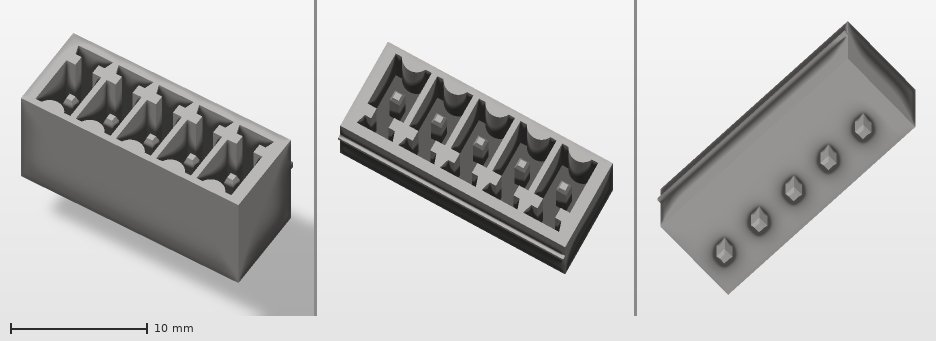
import cadquery as cq

LENGTH = 18.9
HOUSING_DEPTH = 7.24
HOUSING_HEIGHT = 9.19

RAIL_PROJECTION = 0.3
RAIL_HEIGHT = 0.57
RAIL_DROP = 2.91
RAIL_TOP = HOUSING_HEIGHT - RAIL_DROP

CONTACT_COUNT = 5
PITCH = 3.5
CONTACT_XS = [(i - (CONTACT_COUNT - 1) / 2) * PITCH for i in range(CONTACT_COUNT)]

FLOOR_THICKNESS = 1.89
CAVITY_WIDTH = 3.02
CAVITY_FRONT_Y = 0.51
SHOULDER_Y = 4.8
LEDGE_Y = 5.65
CAVITY_BACK_Y = 6.45
NECK_WIDTH = 1.47
DOVETAIL_WIDTH = 2.51

KEY_WIDTH = 1.97
KEY_HEIGHT = 0.62

PIN_Y = 2.99
PIN_WIDTH = 0.85
PIN_TIP_WIDTH = 0.5
PIN_TAPER = 0.57
PIN_BOTTOM = -3.42
PIN_RECESS = 1.44
PIN_TOP = HOUSING_HEIGHT - PIN_RECESS


def make_housing():
    body = cq.Workplane("XY").box(LENGTH, HOUSING_DEPTH, HOUSING_HEIGHT, centered=(True, False, False))
    rail = (
        cq.Workplane("XY", origin=(0, HOUSING_DEPTH, RAIL_TOP - RAIL_HEIGHT))
        .box(LENGTH, RAIL_PROJECTION, RAIL_HEIGHT, centered=(True, False, False))
    )
    return body.union(rail)


def make_cavity(x):
    """Keyhole-shaped pocket: wide front bay, narrow neck and a dovetail at the back."""
    half_key = KEY_WIDTH / 2
    half_cavity = CAVITY_WIDTH / 2
    half_neck = NECK_WIDTH / 2
    half_dovetail = DOVETAIL_WIDTH / 2
    return (
        cq.Workplane("XY", origin=(x, 0, FLOOR_THICKNESS))
        .moveTo(-half_key, CAVITY_FRONT_Y)
        .threePointArc((0, CAVITY_FRONT_Y + KEY_HEIGHT), (half_key, CAVITY_FRONT_Y))
        .lineTo(half_cavity, CAVITY_FRONT_Y)
        .lineTo(half_cavity, SHOULDER_Y)
        .lineTo(half_neck, SHOULDER_Y)
        .lineTo(half_neck, LEDGE_Y)
        .lineTo(half_dovetail, LEDGE_Y)
        .lineTo(half_cavity, CAVITY_BACK_Y)
        .lineTo(-half_cavity, CAVITY_BACK_Y)
        .lineTo(-half_dovetail, LEDGE_Y)
        .lineTo(-half_neck, LEDGE_Y)
        .lineTo(-half_neck, SHOULDER_Y)
        .lineTo(-half_cavity, SHOULDER_Y)
        .lineTo(-half_cavity, CAVITY_FRONT_Y)
        .close()
        .extrude(HOUSING_HEIGHT - FLOOR_THICKNESS)
    )


def make_taper(x, bottom, bottom_width, top_width):
    """Square frustum of a pin end, rising from Z = bottom."""
    return (
        cq.Workplane("XY", origin=(x, PIN_Y, bottom))
        .rect(bottom_width, bottom_width)
        .workplane(offset=PIN_TAPER)
        .rect(top_width, top_width)
        .loft()
    )


def make_pin(x):
    shank_bottom = PIN_BOTTOM + PIN_TAPER
    shank_top = PIN_TOP - PIN_TAPER
    shank = (
        cq.Workplane("XY", origin=(x, PIN_Y, shank_bottom))
        .rect(PIN_WIDTH, PIN_WIDTH)
        .extrude(shank_top - shank_bottom)
    )
    lower_tip = make_taper(x, PIN_BOTTOM, PIN_TIP_WIDTH, PIN_WIDTH)
    upper_tip = make_taper(x, shank_top, PIN_WIDTH, PIN_TIP_WIDTH)
    return shank.union(lower_tip).union(upper_tip)


result = make_housing()
for contact_x in CONTACT_XS:
    result = result.cut(make_cavity(contact_x)).union(make_pin(contact_x))